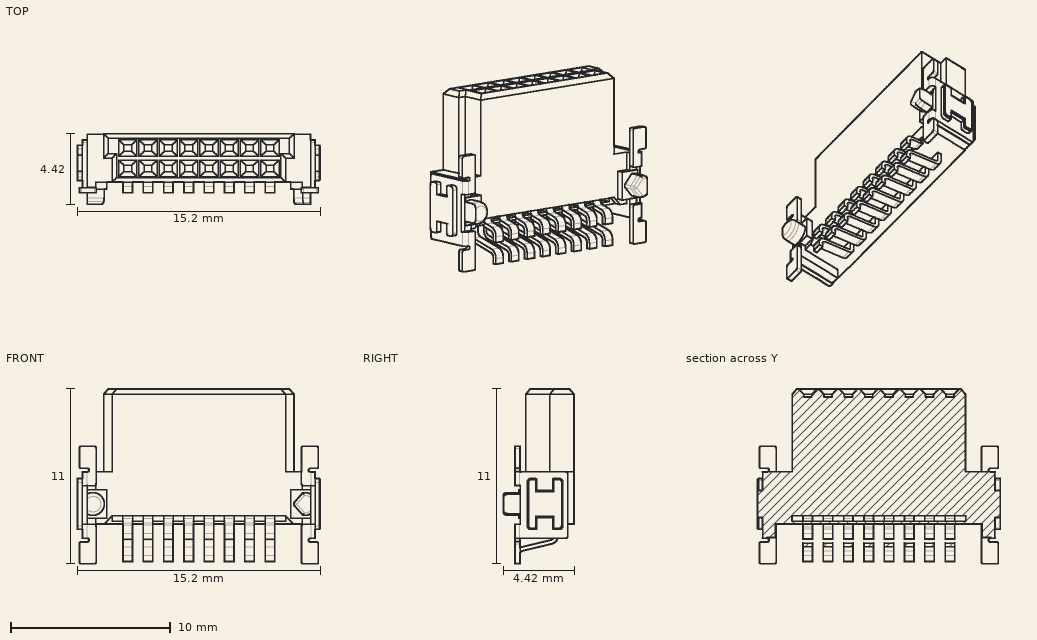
import cadquery as cq
import math


columns = 8
column_span = 8.89
pitch = column_span / (columns - 1)
front_row_y = 0.87
row_offsets = (0, pitch)

height = 10.95
depth = 3.04
block_half_width = 5.96
front_half_width = 5.43
shoulder_y = 1.5
bevel_height = 0.33
bevel_inset = 0.29

base_bottom = 2.5
base_top = 5.78
base_half_width = 6.99
base_back = 3.01
cheek_inner = 6.46
cheek_front = -0.3
cheek_back = 2.58
cheek_bottom = 1.64

mouth_width = 1.14
mouth_depth = 1.02
throat_width = 0.49
throat_depth = 0.41
funnel_height = 0.33
throat_height = 0.15

recess_top = 3.01
recess_depth = 0.45
recess_flare = 0.49
ledge_top = 2.68
ledge_pocket_back = 0.91

leg_width = 0.61
leg_thickness = 0.26
leg_radius = 0.55
leg_slope = 13.5
leg_front = -0.67
foot_bottoms = (1.55, 0.15)
foot_straight = 0.38
leg_root = base_top
front_leg_back = 0.78

clip_thickness = 0.29
plate_outer = base_half_width + clip_thickness
plate_bottom = 1.6
plate_top = 5.76
plate_front = -0.33
plate_back = 2.65
plate_corner = 0.14
bend_radius = 0.27
tab_thickness = 0.33
tab_front = plate_front - tab_thickness
tab_outer = 7.48
tab_inner = 6.41
tab_top = 7.37
tab_corner = 0.12
stem_overlap = 2 * tab_corner
tab_gap = (base_bottom, 4.9)
slot_height = 0.21
slot_end = 6.87
slot_round = 0.09

h_outer = 7.6
h_front = 0.1
h_back = 2.33
h_bottom = 2.16
h_top = 5.35
h_corner = 0.23
notch_front = 0.7
notch_back = 1.69
notch_depth = 0.75
notch_corner = 0.1
h_bevel = 0.08

peg_z = 3.75
pad_inner = 5.75
pad_height = 1.78
pad_front = -0.43
peg_x = 6.63
peg_radius = 0.71
peg_shank_end = -0.97
peg_tip = -1.38
peg_taper = 5
peg_round = 0.21
wedge_point = 5.93
wedge_shoulder = 6.5
wedge_point_round = 0.15
wedge_tip_round = 0.15


def box(x, y, z):
    """Box between the given (low, high) ranges."""
    size = [high - low for low, high in (x, y, z)]
    return cq.Workplane("XY").box(*size, centered=False).translate((x[0], y[0], z[0]))


def mirrored(left):
    return left.union(left.mirror("YZ"))


def make_bevelled_block(half_width, front):
    """Block with a bevelled top rim, reaching from the given front to the back face."""
    rim_z = height - bevel_height
    bevel_angle = math.degrees(math.atan2(bevel_inset, bevel_height))
    shaft = box((-half_width, half_width), (front, depth), (base_bottom, rim_z))
    return shaft.faces(">Z").wires().toPending().extrude(bevel_height, taper=bevel_angle)


def make_block():
    """T-shaped mating block: a full-depth middle and a wider rear half."""
    middle = make_bevelled_block(front_half_width, 0)
    return middle.union(make_bevelled_block(block_half_width, shoulder_y))


def make_base():
    """Base with a cheek at each end that reaches forward and down."""
    heights = (base_bottom, base_top)
    base = box((-base_half_width, base_half_width), (0, base_back), heights)
    cheek_x = (-base_half_width, -cheek_inner)
    cheek = box(cheek_x, (cheek_front, 0), heights)
    cheek_foot = box(cheek_x, (cheek_front, cheek_back), (cheek_bottom, base_bottom))
    return base.union(mirrored(cheek.union(cheek_foot)))


def make_opening():
    """Funnel and throat of one contact, with its centre at x = y = 0."""
    funnel = (
        cq.Workplane("XY").workplane(offset=height).rect(mouth_width, mouth_depth)
        .workplane(offset=-funnel_height).rect(throat_width, throat_depth).loft(ruled=True)
    )
    throat = (
        cq.Workplane("XY").workplane(offset=height - funnel_height)
        .rect(throat_width, throat_depth).extrude(-throat_height)
    )
    return funnel.union(throat)


def make_recess():
    """Flared front recess, deeper above the ledge at its foot."""
    flared = front_half_width + recess_flare
    front = (
        cq.Workplane("XZ")
        .polyline([(-flared, base_bottom), (flared, base_bottom),
                   (front_half_width, recess_top), (-front_half_width, recess_top)])
        .close().extrude(-recess_depth)
    )
    pocket = box((-front_half_width, front_half_width), (0, ledge_pocket_back),
                 (ledge_top, recess_top))
    return front.union(pocket)


def make_leg(foot_bottom, leg_back):
    """S-shaped leg: vertical foot, sloping run and vertical root."""
    slope = math.radians(leg_slope)
    end = math.pi / 2 - slope
    middle = end / 2
    inner_radius = leg_radius - leg_thickness
    foot_y = leg_front + leg_radius
    foot_z = foot_bottom + foot_straight
    root_y = leg_back - leg_radius

    def foot_arc(radius, angle):
        return (foot_y - radius * math.cos(angle), foot_z + radius * math.sin(angle))

    start = foot_arc(inner_radius, end)
    run = (root_y + leg_radius * math.sin(slope)) - start[0]
    root_z = start[1] + run * math.tan(slope) + leg_radius * math.cos(slope)

    def root_arc(radius, angle):
        return (root_y + radius * math.cos(angle), root_z - radius * math.sin(angle))

    return (
        cq.Workplane("YZ").moveTo(leg_front, foot_bottom).lineTo(leg_front, foot_z)
        .threePointArc(foot_arc(leg_radius, middle), foot_arc(leg_radius, end))
        .lineTo(*root_arc(inner_radius, end))
        .threePointArc(root_arc(inner_radius, middle), root_arc(inner_radius, 0))
        .lineTo(leg_back - leg_thickness, leg_root).lineTo(leg_back, leg_root)
        .lineTo(leg_back, root_z)
        .threePointArc(root_arc(leg_radius, middle), root_arc(leg_radius, end))
        .lineTo(*start)
        .threePointArc(foot_arc(inner_radius, middle), foot_arc(inner_radius, 0))
        .lineTo(leg_front + leg_thickness, foot_bottom).close()
        .extrude(leg_width / 2, both=True)
    )


def make_tab(pad_z, stem_z, bend_z, slot_z):
    """Left solder tab: wide pad, narrow stem, rounded bend and the slot beside it."""
    thickness = (tab_front, plate_front)
    pad = box((-tab_outer, -tab_inner), thickness, pad_z).edges("|Y").fillet(tab_corner)
    stem = box((-base_half_width, -tab_inner), thickness, stem_z)
    stem = stem.edges("|Y and >X").fillet(tab_corner)
    bend = box((-plate_outer, -base_half_width), thickness, bend_z)
    bend = bend.edges("|Z and <X and <Y").fillet(bend_radius)
    slot = box((-tab_outer, -slot_end), thickness, slot_z)
    slot = slot.edges("|Y and >X").fillet(slot_round)
    return pad.union(stem).union(bend).cut(slot)


def make_clip():
    """Left clip: side plate with an upper and a lower solder tab."""
    plate = box((-plate_outer, -base_half_width), (plate_front, plate_back),
                (plate_bottom, plate_top))
    plate = plate.edges("|X and >Y").fillet(plate_corner)
    upper_slot = (plate_top, plate_top + slot_height)
    lower_slot = (plate_bottom - slot_height, plate_bottom)
    gap_bottom, gap_top = tab_gap
    upper = make_tab(
        (upper_slot[1], tab_top), (gap_top, upper_slot[1] + stem_overlap),
        (gap_top, plate_top), upper_slot,
    )
    lower = make_tab(
        (0, lower_slot[0]), (lower_slot[0] - stem_overlap, gap_bottom),
        (plate_bottom, gap_bottom), lower_slot,
    )
    return plate.union(upper).union(lower)


def make_raised_h():
    """Raised H on the left clip."""
    reach = (-h_outer, -plate_outer)
    rear_bar = box(reach, (notch_back, h_back), (h_bottom, h_top))
    rear_bar = rear_bar.edges("|X and >Y").fillet(h_corner).edges("|X and <Y").fillet(notch_corner)
    front_bar = box(reach, (h_front, notch_front), (h_bottom, h_top))
    front_bar = front_bar.edges("|X and <Y").fillet(h_corner).edges("|X and >Y").fillet(notch_corner)
    web = box(reach, (notch_front, notch_back), (h_bottom + notch_depth, h_top - notch_depth))
    return rear_bar.union(front_bar).union(web)


def make_pad():
    half = pad_height / 2
    return box((-base_half_width, -pad_inner), (pad_front, 0), (peg_z - half, peg_z + half))


def make_peg(outline, tip_round):
    """Peg with a straight shank and a tapered, rounded tip, from an outline on its axis."""
    shank = outline.extrude(-peg_shank_end)
    peg = shank.faces("<Y").wires().toPending().extrude(peg_shank_end - peg_tip, taper=peg_taper)
    return peg.faces("<Y").edges().fillet(tip_round)


def make_round_peg():
    """Left peg: round, cut flush with the side of the base."""
    peg = make_peg(cq.Workplane("XZ", origin=(-peg_x, 0, peg_z)).circle(peg_radius), peg_round)
    return peg.intersect(box((-base_half_width, 0), (peg_tip, 0), (0, height)))


def make_wedge_peg():
    """Right peg: round outside with a V-shaped inner side, cut flush with the base."""
    half = math.sqrt(peg_radius ** 2 - (peg_x - wedge_shoulder) ** 2)
    round_x = wedge_point + wedge_point_round
    run = wedge_shoulder - round_x
    lean = math.atan2(half, run) - math.asin(wedge_point_round / math.hypot(run, half))
    touch_x = round_x - wedge_point_round * math.sin(lean)
    touch_z = wedge_point_round * math.cos(lean)
    outline = (
        cq.Workplane("XZ", origin=(0, 0, peg_z)).moveTo(touch_x, touch_z)
        .lineTo(wedge_shoulder, half)
        .threePointArc((peg_x + peg_radius, 0), (wedge_shoulder, -half))
        .lineTo(touch_x, -touch_z)
        .threePointArc((wedge_point, 0), (touch_x, touch_z)).close()
    )
    peg = make_peg(outline, wedge_tip_round)
    return peg.intersect(box((0, base_half_width), (peg_tip, 0), (0, height)))


housing = make_block().union(make_base()).cut(make_recess())
opening = make_opening()
legs = [
    make_leg(foot_bottom, front_leg_back + offset)
    for foot_bottom, offset in zip(foot_bottoms, row_offsets)
]
for column in range(columns):
    x = column * pitch - column_span / 2
    for leg, offset in zip(legs, row_offsets):
        housing = housing.cut(opening.translate((x, front_row_y + offset, 0)))
        housing = housing.union(leg.translate((x, 0, 0)))

raised_h = make_raised_h()
right_h = raised_h.mirror("YZ").faces(">X").edges().chamfer(h_bevel)

result = (
    housing.union(mirrored(make_clip())).union(raised_h).union(right_h)
    .union(mirrored(make_pad())).union(make_round_peg()).union(make_wedge_peg())
)